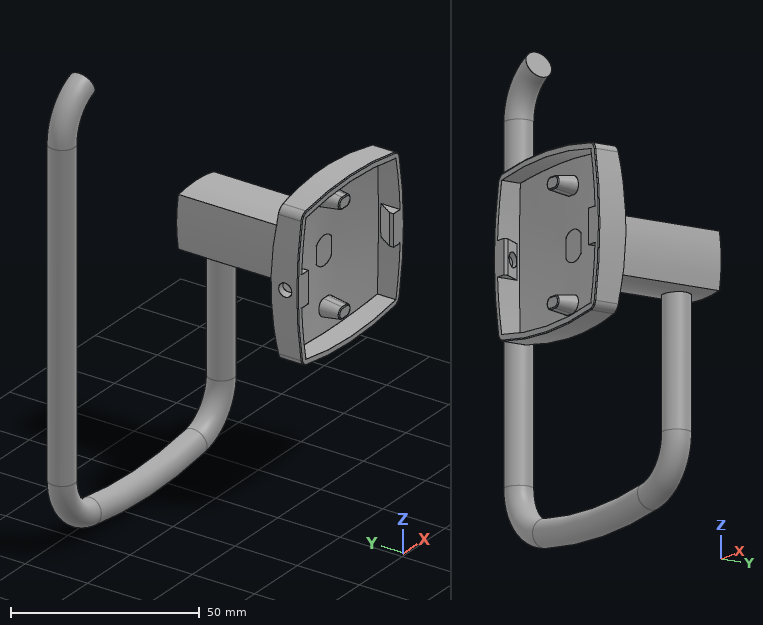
import cadquery as cq
import math

TOTAL_DEPTH = 50.2

PLATE_HALF_WIDTH = 25.0
PLATE_HALF_CORNER = 22.6
PLATE_CORNER_RADIUS = 2.8
PLATE_DEPTH = 10.5
CROWN_RADIUS = 163.5
WALL = 1.8
POCKET_HALF_CORNER = 21.0
RIM_CHAMFER = 0.3

LUG_HEIGHT = 10.0
LUG_HALF_SPACING = 20.0
LUG_LIP = 1.2
LUG_DEPTH = 6.4

SCREW_DIAMETER = 4.2
SCREW_Y = 4.0

STUD_OFFSET = 16.3
STUD_BASE_LENGTH = 7.3
STUD_BASE_WIDTH = 5.4
STUD_TIP_WIDTH = 3.5
STUD_TIP_Y = 2.0
STUD_TIP_CHAMFER = 0.3

POST_HALF_WIDTH = 9.0
POST_HALF_CORNER = 8.2
POST_END_CHAMFER = 0.3
TENON_DIAMETER = 9.0
TENON_FLATS = 7.0

BAR_DIAMETER = 8.0
BAR_Y = 41.7
BAR_SPAN = 74.5
BEND_RADIUS = 15.0
BOTTOM_RADIUS = 149.6
BEND_START_Z = -46.4
LONG_LEG_LENGTH = 100.0
TIP_BEND_ANGLE = math.radians(68.5)


def bulged_square(half_width, half_corner):
    """Square outline in XZ whose four sides are arcs bulging out to half_width."""
    return (
        cq.Workplane("XZ")
        .moveTo(-half_corner, -half_corner)
        .threePointArc((0, -half_width), (half_corner, -half_corner))
        .threePointArc((half_width, 0), (half_corner, half_corner))
        .threePointArc((0, half_width), (-half_corner, half_corner))
        .threePointArc((-half_width, 0), (-half_corner, -half_corner))
        .close()
    )


def crown(radius, top_y):
    """Sphere on the Y axis whose highest point is at top_y."""
    return cq.Workplane("XY").sphere(radius).translate((0, top_y - radius, 0))


PLATE_CROWN = crown(CROWN_RADIUS, PLATE_DEPTH)
FLOOR_CROWN = crown(CROWN_RADIUS - WALL, PLATE_DEPTH - WALL)


def make_body():
    """Solid crowned plate, before it is hollowed out."""
    prism = bulged_square(PLATE_HALF_WIDTH, PLATE_HALF_CORNER).extrude(-PLATE_DEPTH)
    prism = prism.edges("|Y").fillet(PLATE_CORNER_RADIUS)
    return prism.faces("<Y").chamfer(RIM_CHAMFER).intersect(PLATE_CROWN)


def make_pocket():
    """Hollow under the crown, leaving the side walls and a floor of the same thickness."""
    prism = bulged_square(PLATE_HALF_WIDTH - WALL, POCKET_HALF_CORNER).extrude(-PLATE_DEPTH)
    return prism.intersect(FLOOR_CROWN)


def make_lugs():
    """Two lugs with a short lip at the rim that slope back into the side walls."""
    profile = [
        (PLATE_HALF_WIDTH, 0),
        (LUG_HALF_SPACING, 0),
        (LUG_HALF_SPACING, LUG_LIP),
        (PLATE_HALF_WIDTH - WALL, LUG_DEPTH),
        (PLATE_HALF_WIDTH, LUG_DEPTH),
    ]
    lug = cq.Workplane("XY").polyline(profile).close().extrude(LUG_HEIGHT / 2, both=True)
    return lug.union(lug.mirror("YZ"))


def make_stud(z):
    """Obround stud, tapering from the plate floor to its tip."""
    length = PLATE_DEPTH - WALL - STUD_TIP_Y
    taper = math.degrees(math.atan((STUD_BASE_WIDTH - STUD_TIP_WIDTH) / 2 / length))
    stud = (
        cq.Workplane("XZ", origin=(0, PLATE_DEPTH - WALL, z))
        .slot2D(STUD_BASE_LENGTH, STUD_BASE_WIDTH)
        .extrude(length, taper=taper)
    )
    return stud.faces("<Y").chamfer(STUD_TIP_CHAMFER)


def double_d(depth):
    """Round bar along Y with two flats facing X."""
    rod = cq.Workplane("XZ").circle(TENON_DIAMETER / 2).extrude(-depth)
    flats = cq.Workplane("XZ").rect(TENON_FLATS, TENON_DIAMETER).extrude(-depth)
    return rod.intersect(flats)


def make_plate():
    """Hollow plate with its lugs, studs, set screw hole and tenon hole."""
    body = make_body()
    lugs = make_lugs().intersect(body)
    plate = body.cut(make_pocket()).union(lugs)
    for z in (-STUD_OFFSET, STUD_OFFSET):
        plate = plate.union(make_stud(z))
    screw_hole = (
        cq.Workplane("YZ", origin=(-PLATE_HALF_WIDTH, SCREW_Y, 0))
        .circle(SCREW_DIAMETER / 2)
        .extrude(PLATE_HALF_WIDTH - LUG_HALF_SPACING)
    )
    return plate.cut(screw_hole).cut(double_d(PLATE_DEPTH))


def make_bar():
    """Rod from the post centre down, across the bowed bottom, up the long leg and over the tip."""
    right_x = 0
    left_x = -BAR_SPAN
    middle_x = left_x / 2
    bow_angle = math.asin((BAR_SPAN / 2 - BEND_RADIUS) / (BOTTOM_RADIUS - BEND_RADIUS))
    bow_centre_z = BEND_START_Z + (BOTTOM_RADIUS - BEND_RADIUS) * math.cos(bow_angle)
    tip_z = BEND_START_Z + LONG_LEG_LENGTH

    def on_bend(centre_x, centre_z, angle):
        return (centre_x + BEND_RADIUS * math.cos(angle), centre_z + BEND_RADIUS * math.sin(angle))

    right_centre = right_x - BEND_RADIUS
    left_centre = left_x + BEND_RADIUS
    right_end = bow_angle - math.pi / 2
    left_end = -math.pi / 2 - bow_angle
    path = (
        cq.Workplane("XZ", origin=(0, BAR_Y, 0))
        .moveTo(right_x, 0)
        .lineTo(right_x, BEND_START_Z)
        .threePointArc(
            on_bend(right_centre, BEND_START_Z, right_end / 2),
            on_bend(right_centre, BEND_START_Z, right_end),
        )
        .threePointArc(
            (middle_x, bow_centre_z - BOTTOM_RADIUS),
            on_bend(left_centre, BEND_START_Z, left_end),
        )
        .threePointArc(
            on_bend(left_centre, BEND_START_Z, (left_end - math.pi) / 2),
            (left_x, BEND_START_Z),
        )
        .lineTo(left_x, tip_z)
        .threePointArc(
            on_bend(left_centre, tip_z, math.pi - TIP_BEND_ANGLE / 2),
            on_bend(left_centre, tip_z, math.pi - TIP_BEND_ANGLE),
        )
    )
    return cq.Workplane("XY", origin=(0, BAR_Y, 0)).circle(BAR_DIAMETER / 2).sweep(path)


def make_post():
    """Post seated on the crown, its tenon flush with the plate floor, with a blind socket for the bar."""
    shaft = bulged_square(POST_HALF_WIDTH, POST_HALF_CORNER).extrude(-TOTAL_DEPTH)
    shaft = shaft.faces(">Y").chamfer(POST_END_CHAMFER).cut(PLATE_CROWN)
    tenon = double_d(PLATE_DEPTH).cut(FLOOR_CROWN)
    socket = (
        cq.Workplane("XY", origin=(0, BAR_Y, 0))
        .circle(BAR_DIAMETER / 2)
        .extrude(-POST_HALF_WIDTH)
    )
    return shaft.union(tenon).cut(socket)


plate = make_plate()
post = make_post()
bar = make_bar()
result = cq.Compound.makeCompound([plate.solids().val(), post.solids().val(), bar.solids().val()])